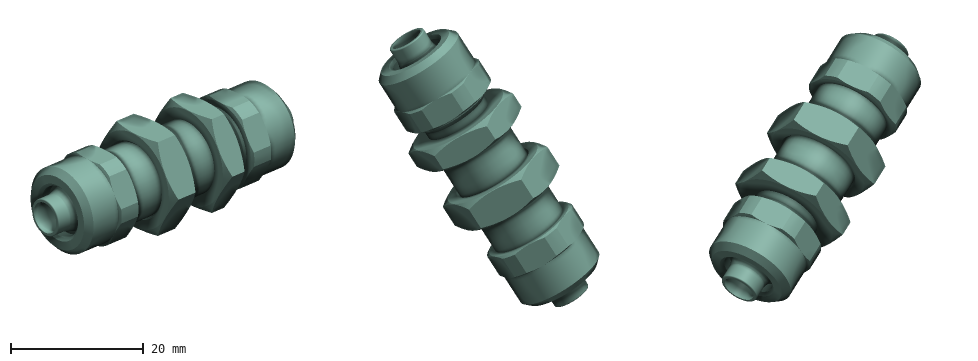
import cadquery as cq
import math


total_length = 48.0
end_y = total_length / 2
bore_radius = 5.0 / 2

spigot_radius = 6.0 / 2
spigot_length = 2.5
spigot_fillet = 0.2
barb_radius = 3.6

cap_radius = 14.0 / 2
cap_length = 10.0
cap_chamfer = 1.0
cap_outer_y = end_y - spigot_length
cap_inner_y = cap_outer_y - cap_length

recess_radius = 4.15
recess_depth = 2.0
recess_chamfer = 0.5

collar_flats = 2 * cap_radius
collar_corner_radius = 15.0 / 2
collar_length = 4.0

barrel_radius = 12.0 / 2

hex_flats = 16.0
hex_face_radius = 7.9
hex_chamfer_angle = 30.0
flange_length = 4.0
flange_y = 5.0
locknut_length = 5.0
locknut_y = -6.0
locknut_countersink = 0.35

groove_radius = 10.5 / 2
groove_shoulder_length = 0.55
groove_chamfer = barrel_radius - groove_radius


def revolve_about_y(points):
    """Solid of revolution about Y from (radius, y) points."""
    return cq.Workplane("XY").polyline(points).close().revolve(360, (0, 0, 0), (0, 1, 0))


def cylinder(radius, start_y, length):
    """Cylinder along +Y from start_y."""
    return cq.Workplane("XZ", origin=(0, start_y, 0)).circle(radius).extrude(-length)


def chamfered_hexagon(flats, corner_radius, face_radius, start_y, length):
    """Hexagonal prism along +Y, corners on X, turned to cones at both ends."""
    across_corners = flats / math.cos(math.pi / 6)
    prism = cq.Workplane("XZ", origin=(0, start_y, 0)).polygon(6, across_corners).extrude(-length)
    chamfer = (corner_radius - face_radius) * math.tan(math.radians(hex_chamfer_angle))
    stop_y = start_y + length
    envelope = revolve_about_y([
        (0, start_y),
        (face_radius, start_y),
        (corner_radius, start_y + chamfer),
        (corner_radius, stop_y - chamfer),
        (face_radius, stop_y),
        (0, stop_y),
    ])
    return prism.intersect(envelope)


def large_hexagon(start_y, length):
    """Hexagon with sharp corners, shared by the flange and the locknut."""
    corner_radius = hex_flats / 2 / math.cos(math.pi / 6)
    return chamfered_hexagon(hex_flats, corner_radius, hex_face_radius, start_y, length)


def make_cap_end():
    """Cap, recess, barb and spigot at the +Y end."""
    recess_floor_y = cap_outer_y - recess_depth
    turned = revolve_about_y([
        (0, cap_inner_y),
        (cap_radius, cap_inner_y),
        (cap_radius, cap_outer_y - cap_chamfer),
        (cap_radius - cap_chamfer, cap_outer_y),
        (recess_radius + recess_chamfer, cap_outer_y),
        (recess_radius, cap_outer_y - recess_chamfer),
        (recess_radius, recess_floor_y),
        (barb_radius, recess_floor_y),
        (spigot_radius, cap_outer_y),
        (spigot_radius, end_y),
        (0, end_y),
    ])
    turned = turned.faces(">Y").edges().fillet(spigot_fillet)
    collar = chamfered_hexagon(
        collar_flats, collar_corner_radius, cap_radius, cap_inner_y, collar_length
    )
    return turned.union(collar)


def make_barrel():
    """Central barrel with the relief groove next to the flange."""
    groove_stop_y = cap_inner_y - groove_shoulder_length
    return revolve_about_y([
        (0, -cap_inner_y),
        (barrel_radius, -cap_inner_y),
        (barrel_radius, flange_y),
        (groove_radius, flange_y),
        (groove_radius, groove_stop_y - groove_chamfer),
        (barrel_radius, groove_stop_y),
        (barrel_radius, cap_inner_y),
        (0, cap_inner_y),
    ])


def make_fitting():
    """Barrel, flange and both cap ends with the through bore."""
    cap_end = make_cap_end()
    fitting = make_barrel().union(large_hexagon(flange_y, flange_length))
    fitting = fitting.union(cap_end).union(cap_end.mirror("XZ"))
    return fitting.cut(cylinder(bore_radius, -end_y, total_length))


def make_locknut():
    """Hexagon nut on the barrel, countersunk at both ends of its hole."""
    stop_y = locknut_y + locknut_length
    mouth_radius = barrel_radius + locknut_countersink
    hole = revolve_about_y([
        (0, locknut_y),
        (mouth_radius, locknut_y),
        (barrel_radius, locknut_y + locknut_countersink),
        (barrel_radius, stop_y - locknut_countersink),
        (mouth_radius, stop_y),
        (0, stop_y),
    ])
    return large_hexagon(locknut_y, locknut_length).cut(hole)


fitting = make_fitting()
locknut = make_locknut()
result = cq.Compound.makeCompound([fitting.val(), locknut.val()])